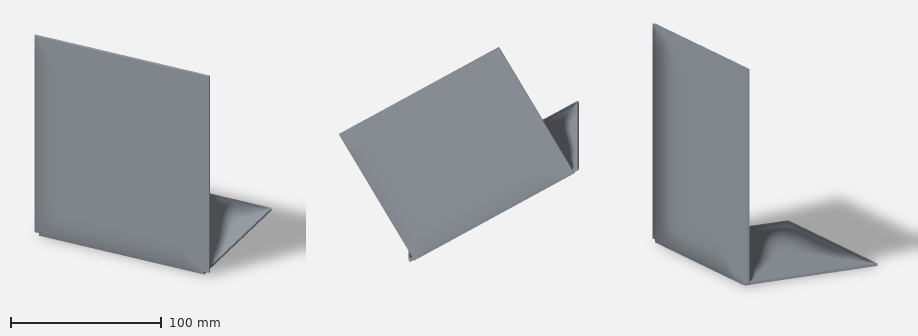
import cadquery as cq

width = 129.6
depth = 101.0
height = 150.0
thickness = 1.8
side_inset = 3.6
notch_height = 2.0

base_width = width - 2 * side_inset


def front_plate(size_x, size_y, size_z, bottom=0):
    """Plate centred on X, with its front face at Y = 0."""
    plate = cq.Workplane("XY").box(size_x, size_y, size_z, centered=(True, False, False))
    return plate.translate((0, 0, bottom))


base = front_plate(base_width, depth, thickness)

wall = front_plate(width, thickness, height - notch_height, notch_height)
wall_foot = front_plate(base_width, thickness, notch_height)

result = base.union(wall_foot).union(wall).clean()